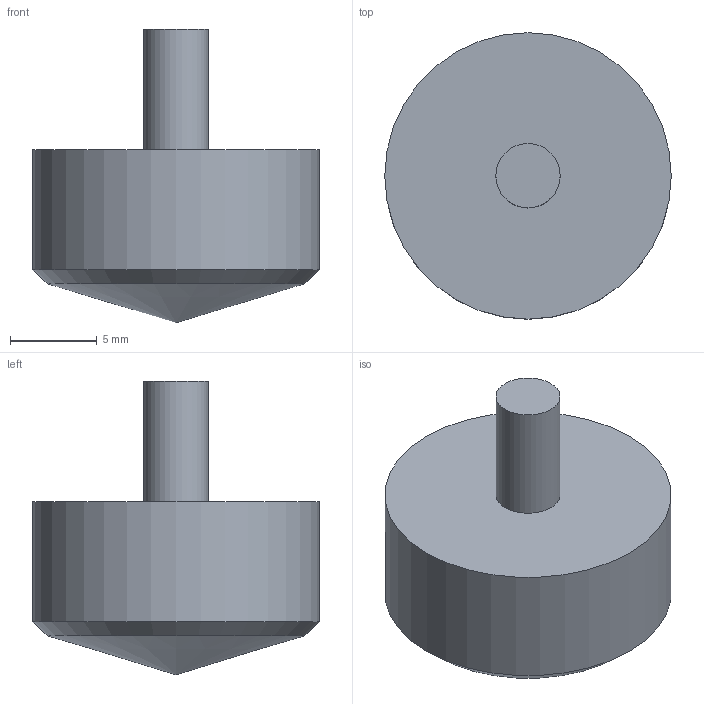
import cadquery as cq

overall_height = 16.9
body_diameter = 16.5
stem_diameter = 3.7
stem_length = 6.93
chamfer_height = 0.8
chamfer_width = 0.87
cone_height = 2.24

body_radius = body_diameter / 2
stem_radius = stem_diameter / 2
cone_radius = body_radius - chamfer_width
body_bottom_z = cone_height + chamfer_height
shoulder_z = overall_height - stem_length


def turned_profile():
    """Half section in the XZ plane, from the cone tip up to the stem top."""
    return (
        cq.Workplane("XZ")
        .moveTo(0, 0)
        .lineTo(cone_radius, cone_height)
        .lineTo(body_radius, body_bottom_z)
        .lineTo(body_radius, shoulder_z)
        .lineTo(stem_radius, shoulder_z)
        .lineTo(stem_radius, overall_height)
        .lineTo(0, overall_height)
        .close()
    )


result = turned_profile().revolve(360, (0, 0, 0), (0, 1, 0))